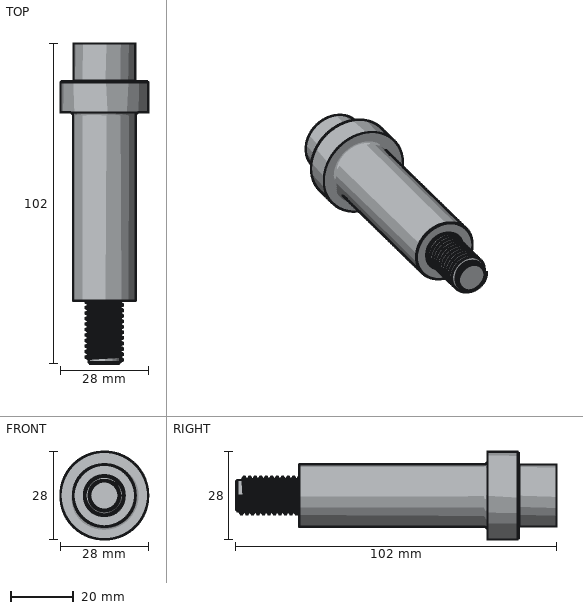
import cadquery as cq
import math


sleeve_diameter = 20.0
sleeve_length = 60.0
sleeve_end_chamfer = 0.2
sleeve_bore_diameter = 12.6
flange_diameter = 28.0
flange_thickness = 10.0
flange_chamfer = 0.5
flange_fillet = 1.0
flange_top = sleeve_length + flange_thickness

head_diameter = 19.8
head_length = 12.0
head_underside_chamfer = 0.2
thread_diameter = 12.0
core_diameter = 10.0
thread_pitch = 1.75
thread_turns = 11
thread_flank_angle = 30.0
thread_runout = 1.25
tip_length = 20.0
tip_chamfer = 0.5
thread_start_depth = 0.5

crest_width = thread_pitch / 8
crest_radius = thread_diameter / 2
core_radius = core_diameter / 2


def make_sleeve():
    """Flanged tube with a through bore, a filleted flange underside and a chamfered free end."""
    bore_radius = sleeve_bore_diameter / 2
    sleeve_radius = sleeve_diameter / 2
    flange_radius = flange_diameter / 2
    fillet_middle = flange_fillet * (1 - math.sqrt(0.5))

    profile = (
        cq.Workplane("XY")
        .moveTo(bore_radius, sleeve_end_chamfer)
        .lineTo(bore_radius + sleeve_end_chamfer, 0)
        .lineTo(sleeve_radius - sleeve_end_chamfer, 0)
        .lineTo(sleeve_radius, sleeve_end_chamfer)
        .lineTo(sleeve_radius, sleeve_length - flange_fillet)
        .threePointArc(
            (sleeve_radius + fillet_middle, sleeve_length - fillet_middle),
            (sleeve_radius + flange_fillet, sleeve_length),
        )
        .lineTo(flange_radius, sleeve_length)
        .lineTo(flange_radius, flange_top - flange_chamfer)
        .lineTo(flange_radius - flange_chamfer, flange_top)
        .lineTo(bore_radius, flange_top)
        .close()
    )
    return profile.revolve(360, (0, 0, 0), (0, 1, 0))


def make_thread_ridge():
    """Right-hand helical ridge around Z, ending thread_runout short of the tip on the +X side."""
    root_overlap = 0.1
    inner_radius = core_radius - root_overlap
    flank_run = (crest_radius - inner_radius) * math.tan(math.radians(thread_flank_angle))
    crest_half = crest_width / 2
    root_half = crest_half + flank_run
    ridge_length = thread_turns * thread_pitch
    ridge_start = tip_length - thread_runout - ridge_length

    helix = cq.Wire.makeHelix(thread_pitch, ridge_length, core_radius)
    ridge = (
        cq.Workplane("XZ")
        .polyline([
            (inner_radius, -root_half),
            (crest_radius, -crest_half),
            (crest_radius, crest_half),
            (inner_radius, root_half),
        ])
        .close()
        .sweep(cq.Workplane(helix), isFrenet=True)
        .translate((0, 0, ridge_start))
    )
    trim = (
        cq.Workplane("XY", origin=(0, 0, -thread_start_depth))
        .circle(thread_diameter)
        .extrude(-2 * thread_pitch)
    )
    return ridge.cut(trim)


def make_screw():
    """Screw with a plain round head on the flange and a thread on the end outside the sleeve."""
    head = (
        cq.Workplane("XY", origin=(0, 0, -flange_top))
        .circle(head_diameter / 2)
        .extrude(-head_length)
        .faces(">Z")
        .chamfer(head_underside_chamfer)
    )
    plain_shank = (
        cq.Workplane("XY", origin=(0, 0, -flange_top))
        .circle(thread_diameter / 2)
        .extrude(flange_top - thread_start_depth)
    )
    core = (
        cq.Workplane("XY", origin=(0, 0, -thread_start_depth))
        .circle(core_radius)
        .extrude(thread_start_depth + tip_length)
        .faces(">Z")
        .chamfer(tip_chamfer)
    )
    upright_screw = core.union(make_thread_ridge()).union(plain_shank).union(head).solids()
    return upright_screw.rotate((0, 0, 0), (1, 0, 0), 90)


sleeve = make_sleeve()
screw = make_screw()

result = cq.Compound.makeCompound([sleeve.val(), screw.val()])